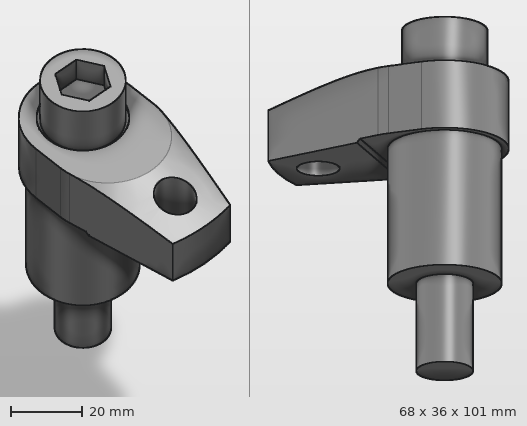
import cadquery as cq
import math


screw_length = 101.0
rod_diameter = 16.0
head_diameter = 24.0
head_height = rod_diameter
socket_width = 14.0
socket_depth = head_height / 2

rod_projection = 26.0
shank_length = 40.0
arm_thickness = 20.0
shank_bottom = rod_projection
arm_bottom = shank_bottom + shank_length
arm_top = arm_bottom + arm_thickness
seat_height = screw_length - head_height

shank_diameter = 32.0
arm_width = 36.0
end_radius = arm_width / 2
nose_start = 10.0
tip_radius = 50.0
tip_half_width = 11.0
nose_slope = 15.0
head_bore_diameter = 26.0
tip_hole_diameter = 12.0
tip_hole_x = 38.0
pad_drop = 1.0
pad_start = 19.0


def cylinder(diameter, bottom, top, x=0):
    """Upright cylinder between two heights."""
    return cq.Workplane("XY", origin=(x, 0, bottom)).circle(diameter / 2).extrude(top - bottom)


def make_heel():
    """Arm behind the nose: a straight stretch with a round rear end."""
    return (
        cq.Workplane("XY", origin=(0, 0, arm_bottom))
        .moveTo(nose_start, -end_radius)
        .lineTo(0, -end_radius)
        .threePointArc((-end_radius, 0), (0, end_radius))
        .lineTo(nose_start, end_radius)
        .close()
        .extrude(arm_thickness)
    )


def make_nose_block():
    """Tapered nose, with straight sides tangent to its rounded shoulders."""
    tip_corner_x = math.sqrt(tip_radius**2 - tip_half_width**2)
    corner_offset = tip_corner_x - nose_start
    corner_distance = math.hypot(corner_offset, tip_half_width)
    tangent_angle = math.atan2(tip_half_width, corner_offset) + math.acos(end_radius / corner_distance)
    middle_angle = (tangent_angle + math.pi / 2) / 2

    def shoulder_point(angle, side):
        x = nose_start + end_radius * math.cos(angle)
        y = side * end_radius * math.sin(angle)
        return (x, y)

    return (
        cq.Workplane("XY", origin=(0, 0, arm_bottom - pad_drop))
        .moveTo(nose_start, -end_radius)
        .threePointArc(shoulder_point(middle_angle, -1), shoulder_point(tangent_angle, -1))
        .lineTo(tip_corner_x, -tip_half_width)
        .threePointArc((tip_radius, 0), (tip_corner_x, tip_half_width))
        .lineTo(*shoulder_point(tangent_angle, 1))
        .threePointArc(shoulder_point(middle_angle, 1), (nose_start, end_radius))
        .close()
        .extrude(arm_thickness + pad_drop)
    )


def make_nose_envelope():
    """Round body with a flat top that falls away as a cone beyond the front rounding."""
    outer_radius = tip_radius
    cone_drop = (outer_radius - end_radius) * math.tan(math.radians(nose_slope))
    return (
        cq.Workplane("XZ", origin=(nose_start, 0, 0))
        .moveTo(0, arm_bottom - pad_drop)
        .lineTo(outer_radius, arm_bottom - pad_drop)
        .lineTo(outer_radius, arm_top - cone_drop)
        .lineTo(end_radius, arm_top)
        .lineTo(0, arm_top)
        .close()
        .revolve(360, (0, 0), (0, 1))
    )


def make_pad_relief():
    """Space under the arm behind the pad, ending in a 45 degree ramp."""
    return (
        cq.Workplane("XZ")
        .moveTo(0, arm_bottom)
        .lineTo(pad_start, arm_bottom)
        .lineTo(pad_start + pad_drop, arm_bottom - pad_drop)
        .lineTo(0, arm_bottom - pad_drop)
        .close()
        .extrude(end_radius, both=True)
    )


def make_clamp():
    nose = make_nose_block().intersect(make_nose_envelope()).cut(make_pad_relief())
    shank = cylinder(shank_diameter, shank_bottom, arm_bottom)
    rod_bore = cylinder(rod_diameter, shank_bottom, seat_height)
    head_bore = cylinder(head_bore_diameter, seat_height, arm_top)
    tip_hole = cylinder(tip_hole_diameter, arm_bottom - pad_drop, arm_top, tip_hole_x)
    return make_heel().union(nose).union(shank).cut(rod_bore).cut(head_bore).cut(tip_hole)


def make_screw():
    rod = cylinder(rod_diameter, 0, seat_height)
    head = cylinder(head_diameter, seat_height, screw_length)
    socket_corner_diameter = socket_width / math.cos(math.pi / 6)
    socket = (
        cq.Workplane("XY", origin=(0, 0, screw_length - socket_depth))
        .transformed(rotate=(0, 0, 30))
        .polygon(6, socket_corner_diameter)
        .extrude(socket_depth)
    )
    return rod.union(head).cut(socket)


clamp = make_clamp()
screw = make_screw()

result = cq.Compound.makeCompound([clamp.val(), screw.val()])